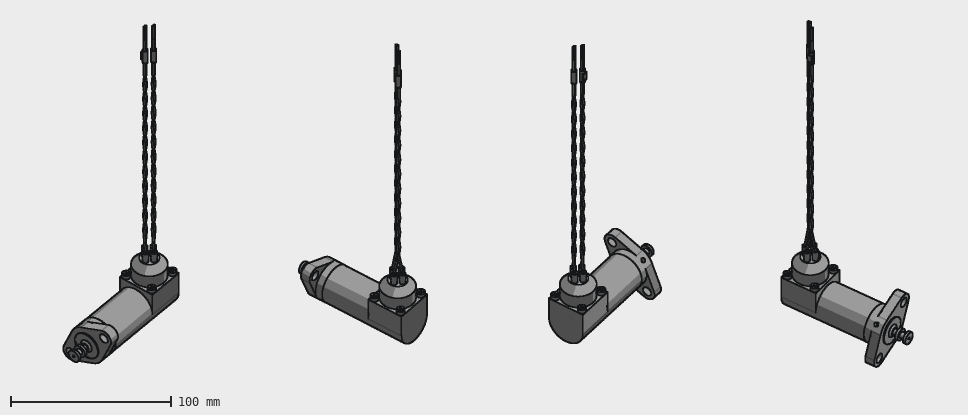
import cadquery as cq
import math


body_radius = 13.14
body_rear = 74.6
bell_radius = 13.3
bell_length = 12.0

flange_thickness = 6.9
ear_offset = 13.5
ear_radius = 6.0
ear_hole_radius = 3.2
set_screw_radius = 1.5
set_screw_depth = 3.7
set_screw_y = 5.2

pilot_radius = 9.3
pilot_height = 0.7
hub_radius = 4.5
hub_top_radius = 3.0
hub_height = 1.5
shaft_radius = 2.2
collar_radius = 4.2
collar_width = 2.0
collar_start = 5.5
shaft_length = 13.3
center_hole_radius = 0.7
center_hole_depth = 2.0

block_size = 2 * body_radius
block_top = 16.2
block_y = body_rear - block_size / 2
screw_offset = 10.3
screw_radius = 2.7
screw_height = 2.7
recess_length = 3.5
recess_width = 0.7
recess_depth = 1.0
cap_radius = 11.5
cap_shoulder = 25.5
cap_top_radius = 6.5
cap_top = 30.7
tube_radius = 2.0
tube_offset = 3.8
tube_top = 37.8

overall_height = 245.5
cable_top = overall_height - ear_offset - ear_radius
pair_x = 1.85
pair_y = 2.0
wire_radius = 0.7
wire_spacing = 1.2
half_turns = 11
half_turn_length = 12.3
twist_bottom = 51.0
twist_top = twist_bottom + half_turns * half_turn_length
sleeve_bottom = 196.2
sleeve_top = 206.2
sleeve_radius = 1.7
tab_height = 6.0
tab_width = 3.0
tab_reach = 2.2
bare_length = 10.3
bare_radius = 0.69


def y_cylinder(radius, start, end):
    """Cylinder on the shaft axis from y = start to y = end."""
    return cq.Workplane("XZ", origin=(0, start, 0)).circle(radius).extrude(start - end)


def z_cylinder(radius, x, y, bottom, top):
    """Upright cylinder centred at (x, y)."""
    return cq.Workplane("XY", origin=(x, y, bottom)).circle(radius).extrude(top - bottom)


def make_flange():
    """End bell with a two-eared plate: a centre disc and two ears joined by tangent flanks."""
    span = ear_offset * math.sqrt(2)
    tilt = math.asin((bell_radius - ear_radius) / span)
    disc_u = bell_radius * math.sin(tilt)
    disc_v = bell_radius * math.cos(tilt)
    ear_u = span + ear_radius * math.sin(tilt)
    ear_v = ear_radius * math.cos(tilt)
    flange = y_cylinder(bell_radius, 0, bell_length)
    for side in (-1, 1):
        ear_web = (
            cq.Workplane("XZ")
            .moveTo(0, 0)
            .lineTo(side * disc_u, disc_v)
            .lineTo(side * ear_u, ear_v)
            .threePointArc((side * (span + ear_radius), 0), (side * ear_u, -ear_v))
            .lineTo(side * disc_u, -disc_v)
            .close()
            .extrude(-flange_thickness)
        )
        flange = flange.union(ear_web)
    holes = (
        cq.Workplane("XZ")
        .pushPoints([(-span, 0), (span, 0)])
        .circle(ear_hole_radius)
        .extrude(-flange_thickness)
    )
    set_screw = z_cylinder(set_screw_radius, 0, set_screw_y, bell_radius - set_screw_depth, bell_radius)
    return flange.cut(holes).cut(set_screw).rotate((0, 0, 0), (0, 1, 0), -45)


def make_shaft():
    """Pilot disc, tapered hub and shaft with two collars, revolved about the shaft axis."""
    collar_end = collar_start + collar_width
    tip_collar_start = shaft_length - collar_width
    hub_end = pilot_height + hub_height
    profile = [
        (0, 0),
        (pilot_radius, 0),
        (pilot_radius, -pilot_height),
        (hub_radius, -pilot_height),
        (hub_top_radius, -hub_end),
        (shaft_radius, -hub_end),
        (shaft_radius, -collar_start),
        (collar_radius, -collar_start),
        (collar_radius, -collar_end),
        (shaft_radius, -collar_end),
        (shaft_radius, -tip_collar_start),
        (collar_radius, -tip_collar_start),
        (collar_radius, -shaft_length),
        (0, -shaft_length),
    ]
    shaft = cq.Workplane("XY").polyline(profile).close().revolve(360, (0, 0, 0), (0, 1, 0))
    return shaft.cut(y_cylinder(center_hole_radius, -shaft_length, center_hole_depth - shaft_length))


def make_screw(x, y):
    """Pan-head screw with a cross recess."""
    top = block_top + screw_height
    head = z_cylinder(screw_radius, x, y, block_top, top)
    for angle in (45, 135):
        slot = (
            cq.Workplane("XY", origin=(x, y, top - recess_depth))
            .transformed(rotate=(0, 0, angle))
            .rect(recess_length, recess_width)
            .extrude(recess_depth)
        )
        head = head.cut(slot)
    return head


def make_connector():
    """Square block on the rear of the motor with four screws, a tapered cap and four wire tubes."""
    connector = cq.Workplane("XY", origin=(0, block_y, 0)).rect(block_size, block_size).extrude(block_top)
    for x in (-screw_offset, screw_offset):
        for y in (-screw_offset, screw_offset):
            connector = connector.union(make_screw(x, block_y + y))
    cap = (
        cq.Workplane("XZ")
        .moveTo(0, block_top)
        .lineTo(cap_radius, block_top)
        .lineTo(cap_radius, cap_shoulder)
        .lineTo(cap_top_radius, cap_top)
        .lineTo(0, cap_top)
        .close()
        .revolve(360, (0, 0, 0), (0, 1, 0))
        .translate((0, block_y, 0))
    )
    connector = connector.union(cap)
    for x, y in [(-tube_offset, 0), (tube_offset, 0), (0, -tube_offset), (0, tube_offset)]:
        connector = connector.union(z_cylinder(tube_radius, x, block_y + y, cap_top, tube_top))
    return connector


def pair_outline(x, y, bottom):
    """Closed outline of two overlapping wires lying side by side along Y, centred at (x, y)."""
    half = wire_spacing / 2
    waist = math.sqrt(wire_radius**2 - half**2)
    return (
        cq.Workplane("XY", origin=(x, y, bottom))
        .moveTo(waist, 0)
        .threePointArc((0, half + wire_radius), (-waist, 0))
        .threePointArc((0, -half - wire_radius), (waist, 0))
        .close()
    )


def slanted_wire(start, end):
    """Straight wire between two points with rounded ends."""
    path = cq.Vector(*end) - cq.Vector(*start)
    wire = cq.Workplane(cq.Solid.makeCylinder(wire_radius, path.Length, cq.Vector(*start), path))
    for point in (start, end):
        wire = wire.union(cq.Workplane("XY", origin=point).sphere(wire_radius))
    return wire


def make_pair(side):
    """One wire pair; side is -1 or +1 along the X = Y diagonal."""
    x = side * pair_x
    y = block_y + side * pair_y
    bare_start = cable_top - bare_length
    pair = pair_outline(x, y, twist_bottom).twistExtrude(twist_top - twist_bottom, -180 * half_turns)
    pair = pair.union(pair_outline(x, y, twist_top).extrude(bare_start - twist_top))
    pair = pair.union(z_cylinder(sleeve_radius, x, y, sleeve_bottom, sleeve_top))
    half = wire_spacing / 2
    for offset in (-half, half):
        pair = pair.union(z_cylinder(bare_radius, x, y + offset, bare_start, cable_top))
    inner = (x, y - side * half, twist_bottom)
    outer = (x, y + side * half, twist_bottom)
    pair = pair.union(slanted_wire((side * tube_offset, block_y, tube_top), inner))
    return pair.union(slanted_wire((0, block_y + side * tube_offset, tube_top), outer))


def make_tab():
    """Small flag on the -X side of the cable sleeve."""
    middle = (sleeve_bottom + sleeve_top) / 2
    tab = cq.Workplane("XY").box(tab_reach, tab_width, tab_height, centered=(False, True, True))
    return tab.translate((-pair_x - tab_reach, block_y - pair_y, middle))


result = (
    y_cylinder(body_radius, bell_length, body_rear)
    .union(make_flange())
    .union(make_shaft())
    .union(make_connector())
    .union(make_pair(-1))
    .union(make_pair(1))
    .union(make_tab())
)